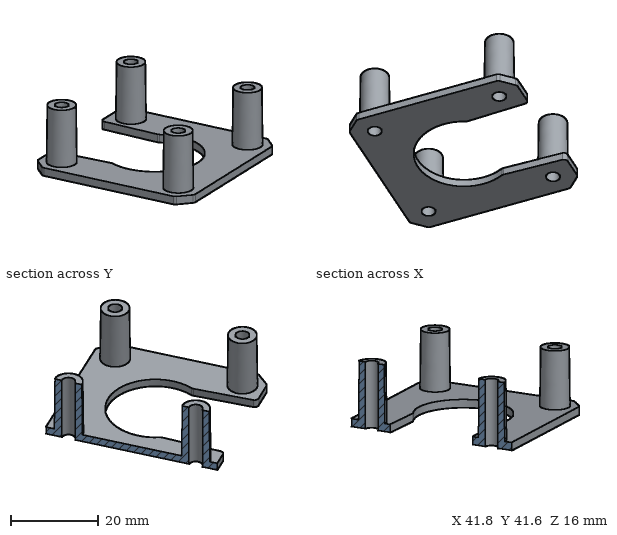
import cadquery as cq
import math

plate_length = 41.8
plate_width = 41.6
plate_thickness = 2.0
left_edge = -plate_width / 2
corner_chamfer = 3.3
corner_radius = 1.0

opening_radius = 11.5
mouth_half_width = 10.83
throat_half_width = 10.3
mouth_corner_radius = 1.0
throat_radius = 1.0

post_pitch = 31.0
post_base_diameter = 7.0
post_top_diameter = 6.65
post_hole_diameter = 3.2
total_height = 16.0


def make_plate():
    """Rectangular plate with chamfered corners whose edges are rounded."""
    return (
        cq.Workplane("XY")
        .box(plate_length, plate_width, plate_thickness, centered=False)
        .translate((left_edge, -plate_width / 2, 0))
        .edges("|Z")
        .chamfer(corner_chamfer)
        .edges("|Z")
        .fillet(corner_radius)
    )


def cut_opening(plate):
    """Cut the round opening and its mouth, then round the four new corners."""
    throat_x = -math.sqrt(opening_radius**2 - throat_half_width**2)
    mouth_outline = [
        (left_edge, -mouth_half_width),
        (throat_x, -throat_half_width),
        (throat_x, throat_half_width),
        (left_edge, mouth_half_width),
    ]
    mouth = cq.Workplane("XY").polyline(mouth_outline).close().extrude(plate_thickness)
    circle = cq.Workplane("XY").circle(opening_radius).extrude(plate_thickness)
    opened = plate.cut(circle.union(mouth))

    mid_height = plate_thickness / 2
    for corner_x, half_width, radius in (
        (left_edge, mouth_half_width, mouth_corner_radius),
        (throat_x, throat_half_width, throat_radius),
    ):
        for side in (-1, 1):
            corner = cq.selectors.NearestToPointSelector((corner_x, side * half_width, mid_height))
            opened = opened.edges("|Z").edges(corner).fillet(radius)
    return opened


def add_posts(plate):
    """Add the four tapered posts and drill each one through the plate."""
    post_height = total_height - plate_thickness
    post = (
        cq.Workplane("XY", origin=(0, 0, plate_thickness))
        .circle(post_base_diameter / 2)
        .workplane(offset=post_height)
        .circle(post_top_diameter / 2)
        .loft(ruled=True)
    )
    hole = cq.Workplane("XY").circle(post_hole_diameter / 2).extrude(total_height)
    for side_x in (-1, 1):
        for side_y in (-1, 1):
            position = (side_x * post_pitch / 2, side_y * post_pitch / 2, 0)
            plate = plate.union(post.translate(position)).cut(hole.translate(position))
    return plate


result = add_posts(cut_opening(make_plate()))